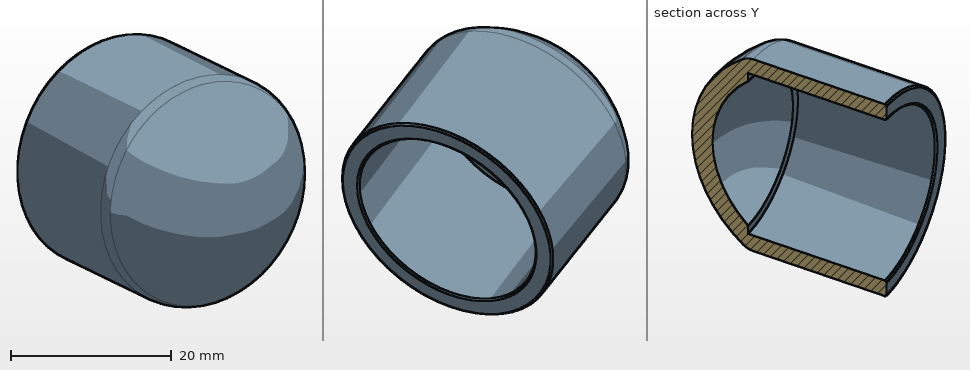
import cadquery as cq
import math

outer_diameter = 30.0
overall_length = 27.9
bore_diameter = 25.0
dome_radius = 18.0
shoulder_radius = 2.5
dome_wall = 3.0
recess_diameter = 22.5
rim_chamfer = 0.25

outer_radius = outer_diameter / 2
bore_radius = bore_diameter / 2
recess_radius = recess_diameter / 2
dome_center_x = overall_length - dome_radius

shoulder_center_r = outer_radius - shoulder_radius
center_distance = dome_radius - shoulder_radius
shoulder_angle = math.asin(shoulder_center_r / center_distance)
cylinder_length = dome_center_x + center_distance * math.cos(shoulder_angle)

inner_dome_radius = dome_radius - dome_wall
bore_depth = dome_center_x + math.sqrt(inner_dome_radius**2 - recess_radius**2)


def polar_point(center_x, center_r, radius, angle):
    """Point (x, r) on an arc, with the angle measured from the X axis."""
    return (center_x + radius * math.cos(angle), center_r + radius * math.sin(angle))


def arc_points(center_x, center_r, radius, start_angle, end_angle):
    """Middle and end points of an arc between two angles."""
    middle_angle = (start_angle + end_angle) / 2
    return (
        polar_point(center_x, center_r, radius, middle_angle),
        polar_point(center_x, center_r, radius, end_angle),
    )


shoulder_arc = arc_points(cylinder_length, shoulder_center_r, shoulder_radius, math.pi / 2, shoulder_angle)
outer_dome_arc = arc_points(dome_center_x, 0, dome_radius, shoulder_angle, 0)
recess_angle = math.asin(recess_radius / inner_dome_radius)
inner_dome_arc = arc_points(dome_center_x, 0, inner_dome_radius, 0, recess_angle)

section = (
    cq.Workplane("XY")
    .moveTo(0, bore_radius + rim_chamfer)
    .lineTo(0, outer_radius - rim_chamfer)
    .lineTo(rim_chamfer, outer_radius)
    .lineTo(cylinder_length, outer_radius)
    .threePointArc(*shoulder_arc)
    .threePointArc(*outer_dome_arc)
    .lineTo(dome_center_x + inner_dome_radius, 0)
    .threePointArc(*inner_dome_arc)
    .lineTo(bore_depth, bore_radius)
    .lineTo(rim_chamfer, bore_radius)
    .close()
)

result = section.revolve(360, (0, 0, 0), (1, 0, 0))